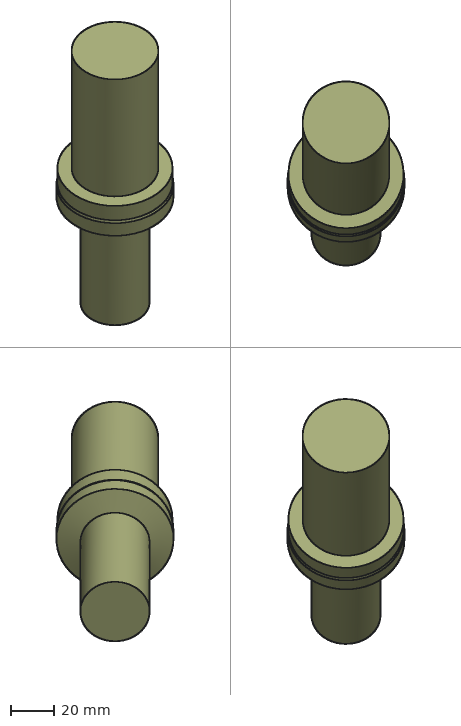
import cadquery as cq

total_length = 155.0
lower_shaft_diameter = 32.0
upper_shaft_diameter = 40.0
lower_collar_diameter = 54.0
upper_collar_diameter = 53.0

taper_bottom = 62.0
taper_top = 65.0
lower_collar_top = 72.7
upper_collar_bottom = 74.1
upper_collar_top = 83.0

lower_shaft_radius = lower_shaft_diameter / 2
upper_shaft_radius = upper_shaft_diameter / 2
lower_collar_radius = lower_collar_diameter / 2
upper_collar_radius = upper_collar_diameter / 2

half_section = (
    cq.Workplane("XZ")
    .moveTo(0, 0)
    .lineTo(lower_shaft_radius, 0)
    .lineTo(lower_shaft_radius, taper_bottom)
    .lineTo(lower_collar_radius, taper_top)
    .lineTo(lower_collar_radius, lower_collar_top)
    .lineTo(upper_collar_radius, upper_collar_bottom)
    .lineTo(upper_collar_radius, upper_collar_top)
    .lineTo(upper_shaft_radius, upper_collar_top)
    .lineTo(upper_shaft_radius, total_length)
    .lineTo(0, total_length)
    .close()
)

result = half_section.revolve(360, (0, 0, 0), (0, 1, 0))